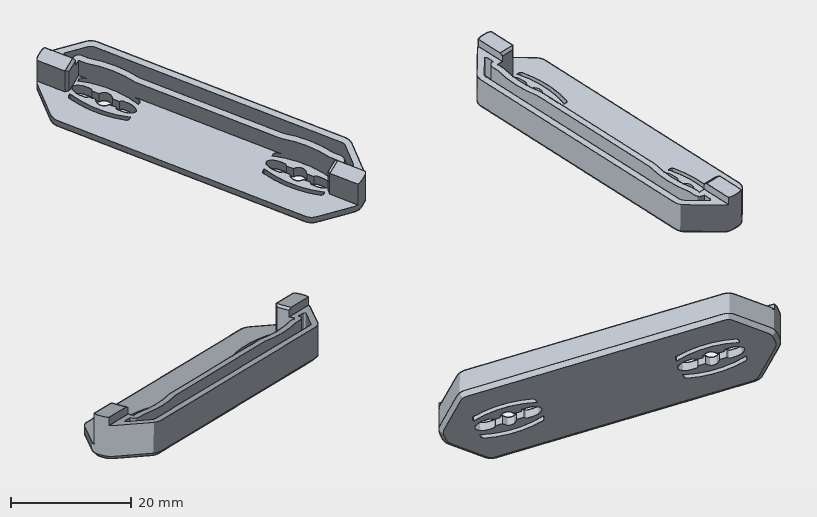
import cadquery as cq
import math

LENGTH = 60.0
WIDTH = 15.0
PLATE_HEIGHT = 2.25
WALL_HEIGHT = 6.35
POST_HEIGHT = 7.85
END_HALF_WIDTH = 1.45
CORNER_RADIUS = 2.5
BOTTOM_CHAMFER = 0.75

POST_HALF_WIDTH = 1.5
POST_INNER_X = 24.0
POST_CHAMFER = 0.55
POST_TOP_BEVEL_DROP = 0.35
WALL_FRONT_Y = 2.6
REAR_WALL_THICKNESS = 1.2
FRONT_WALL_THICKNESS = 1.15
POCKET_TIP_RADIUS = 0.25

CLIP_X = 18.0
SLOT_OUTER_RADIUS = 20.0
SLOT_OUTER_Y = 3.12
SLOT_INNER_RADIUS = 19.0
SLOT_INNER_Y = 2.37
SLOT_HALF_LENGTH = 5.62
SLOT_CORNER_RADIUS = 0.56

HOLE_RADIUS = 1.4
NECK_HALF_WIDTH = 0.65
NECK_END_X = 2.55
LOBE_HALF_WIDTH = 1.0
LOBE_HEEL_RADIUS = 0.56
LOBE_TIP_X = 5.9
LOBE_TIP_RADIUS = 0.56
LOBE_SHOULDER_RADIUS = 3.0

HALF_LENGTH = LENGTH / 2
HALF_WIDTH = WIDTH / 2
CLIP_POSITIONS = (-CLIP_X, CLIP_X)


def pointed_prism(inset, bottom, top):
    """Prism on the body outline, moved inwards by inset, between two heights."""
    point_x = HALF_LENGTH + END_HALF_WIDTH
    end_x = HALF_LENGTH - inset
    side_y = HALF_WIDTH - inset
    side_sum = point_x - inset * math.sqrt(2)
    upper = [
        (end_x, side_sum - end_x),
        (side_sum - side_y, side_y),
        (side_y - side_sum, side_y),
        (-end_x, side_sum - end_x),
    ]
    lower = [(-x, -y) for x, y in upper]
    return (
        cq.Workplane("XY", origin=(0, 0, bottom))
        .polyline(upper + lower)
        .close()
        .extrude(top - bottom)
        .edges("|Z")
        .fillet(CORNER_RADIUS - inset)
    )


def box_between(x_range, y_range, z_range):
    """Axis-aligned box given by its limits on each axis."""
    sizes = [high - low for low, high in (x_range, y_range, z_range)]
    corner = (x_range[0], y_range[0], z_range[0])
    return cq.Workplane("XY").box(*sizes, centered=False).translate(corner)


def bow_disc(clip_x, radius, bow_y, bottom, top):
    """Disc whose +Y edge lies bow_y from the clip centre."""
    return (
        cq.Workplane("XY", origin=(clip_x, bow_y - radius, bottom))
        .circle(radius)
        .extrude(top - bottom)
    )


def wall_front_space(offset):
    """Space in front of the wall above the plate, grown by offset."""
    recess = box_between(
        (-POST_INNER_X - offset, POST_INNER_X + offset),
        (-HALF_WIDTH, WALL_FRONT_Y + offset),
        (PLATE_HEIGHT, POST_HEIGHT),
    )
    if offset > 0:
        recess = recess.edges("|Z and >Y").fillet(offset)
    for clip_x in CLIP_POSITIONS:
        bow_radius = SLOT_OUTER_RADIUS + offset
        disc = bow_disc(clip_x, bow_radius, SLOT_OUTER_Y + offset, PLATE_HEIGHT, POST_HEIGHT)
        bow_limits = box_between(
            (clip_x - SLOT_HALF_LENGTH, clip_x + SLOT_HALF_LENGTH),
            (0, HALF_WIDTH),
            (PLATE_HEIGHT, POST_HEIGHT),
        )
        recess = recess.union(disc.intersect(bow_limits))
    return recess


def body():
    """Chamfered plate with the rear wall and the two end posts."""
    solid = pointed_prism(0, 0, POST_HEIGHT).faces("<Z").chamfer(BOTTOM_CHAMFER)
    above_wall = box_between(
        (-LENGTH, LENGTH),
        (POST_HALF_WIDTH, WIDTH),
        (WALL_HEIGHT, POST_HEIGHT),
    )
    in_front_of_posts = box_between(
        (-LENGTH, LENGTH),
        (-WIDTH, -POST_HALF_WIDTH),
        (PLATE_HEIGHT, POST_HEIGHT),
    )
    between_posts = box_between(
        (-POST_INNER_X, POST_INNER_X),
        (-WIDTH, WIDTH),
        (WALL_HEIGHT, POST_HEIGHT),
    )
    solid = solid.cut(above_wall).cut(in_front_of_posts).cut(between_posts)
    return solid.cut(wall_front_space(0))


def wall_pocket():
    """Pocket that leaves thin walls behind the outline and the wall front."""
    inside = pointed_prism(REAR_WALL_THICKNESS, PLATE_HEIGHT, POST_HEIGHT)
    rear_half = box_between((-LENGTH, LENGTH), (WALL_FRONT_Y, WIDTH), (PLATE_HEIGHT, POST_HEIGHT))
    pocket = inside.intersect(rear_half)
    for tip in ("<X", ">X"):
        pocket = pocket.edges("|Z").edges(tip).fillet(POCKET_TIP_RADIUS)
    return pocket.cut(wall_front_space(FRONT_WALL_THICKNESS))


def post_chamfers(side):
    """Wedges that bevel the inner top edge and the inner front edge of a post."""
    inner_x = side * POST_INNER_X
    bevel_x = side * (POST_INNER_X + POST_CHAMFER)
    top_wedge = (
        cq.Workplane("XZ", origin=(0, POST_HALF_WIDTH, 0))
        .polyline([
            (inner_x, POST_HEIGHT),
            (bevel_x, POST_HEIGHT),
            (inner_x, POST_HEIGHT - POST_TOP_BEVEL_DROP),
        ])
        .close()
        .extrude(2 * POST_HALF_WIDTH)
    )
    front_wedge = (
        cq.Workplane("XY", origin=(0, 0, PLATE_HEIGHT))
        .polyline([
            (inner_x, -POST_HALF_WIDTH),
            (bevel_x, -POST_HALF_WIDTH),
            (inner_x, -POST_HALF_WIDTH + POST_CHAMFER),
        ])
        .close()
        .extrude(POST_HEIGHT - PLATE_HEIGHT)
    )
    return top_wedge.union(front_wedge)


def bowed_slot(clip_x):
    """Slot through the plate, bowed towards +Y, with rounded outer corners."""
    blank = box_between(
        (clip_x - SLOT_HALF_LENGTH, clip_x + SLOT_HALF_LENGTH),
        (0, HALF_WIDTH),
        (0, PLATE_HEIGHT),
    )
    outer = bow_disc(clip_x, SLOT_OUTER_RADIUS, SLOT_OUTER_Y, 0, PLATE_HEIGHT)
    inner = bow_disc(clip_x, SLOT_INNER_RADIUS, SLOT_INNER_Y, 0, PLATE_HEIGHT)
    rounded = blank.intersect(outer).edges("|Z and (not <Y)").fillet(SLOT_CORNER_RADIUS)
    return rounded.cut(inner)


def lobe():
    """Half of the contoured opening on the +X side: neck, lobe and rounded tip."""
    tip_centre_x = LOBE_TIP_X - LOBE_TIP_RADIUS
    shoulder_centre_y = LOBE_HALF_WIDTH - LOBE_SHOULDER_RADIUS
    centre_distance = LOBE_SHOULDER_RADIUS - LOBE_TIP_RADIUS
    blend_angle = math.asin(-shoulder_centre_y / centre_distance)
    shoulder_x = tip_centre_x - centre_distance * math.cos(blend_angle)
    middle_angle = (blend_angle + math.pi / 2) / 2

    blend_x = tip_centre_x + LOBE_TIP_RADIUS * math.cos(blend_angle)
    blend_y = LOBE_TIP_RADIUS * math.sin(blend_angle)
    middle_x = shoulder_x + LOBE_SHOULDER_RADIUS * math.cos(middle_angle)
    middle_y = shoulder_centre_y + LOBE_SHOULDER_RADIUS * math.sin(middle_angle)

    heel_centre_y = LOBE_HALF_WIDTH - LOBE_HEEL_RADIUS
    heel_angle = math.acos((NECK_HALF_WIDTH - heel_centre_y) / LOBE_HEEL_RADIUS)
    heel_x = NECK_END_X + LOBE_HEEL_RADIUS * math.sin(heel_angle)
    heel_middle_x = heel_x - LOBE_HEEL_RADIUS * math.sin(heel_angle / 2)
    heel_middle_y = heel_centre_y + LOBE_HEEL_RADIUS * math.cos(heel_angle / 2)
    return (
        cq.Workplane("XY")
        .moveTo(0, NECK_HALF_WIDTH)
        .lineTo(NECK_END_X, NECK_HALF_WIDTH)
        .threePointArc((heel_middle_x, heel_middle_y), (heel_x, LOBE_HALF_WIDTH))
        .lineTo(shoulder_x, LOBE_HALF_WIDTH)
        .threePointArc((middle_x, middle_y), (blend_x, blend_y))
        .threePointArc((LOBE_TIP_X, 0), (blend_x, -blend_y))
        .threePointArc((middle_x, -middle_y), (shoulder_x, -LOBE_HALF_WIDTH))
        .lineTo(heel_x, -LOBE_HALF_WIDTH)
        .threePointArc((heel_middle_x, -heel_middle_y), (NECK_END_X, -NECK_HALF_WIDTH))
        .lineTo(0, -NECK_HALF_WIDTH)
        .close()
        .extrude(PLATE_HEIGHT)
    )


def contoured_opening(clip_x):
    """Round hole with a lobe to each side, through the plate."""
    hole = cq.Workplane("XY").circle(HOLE_RADIUS).extrude(PLATE_HEIGHT)
    right_lobe = lobe()
    opening = hole.union(right_lobe).union(right_lobe.mirror("YZ"))
    return opening.translate((clip_x, 0, 0))


result = body().cut(wall_pocket())
for side in (-1, 1):
    result = result.cut(post_chamfers(side))
for clip_x in CLIP_POSITIONS:
    slot = bowed_slot(clip_x)
    result = result.cut(slot).cut(slot.mirror("XZ")).cut(contoured_opening(clip_x))